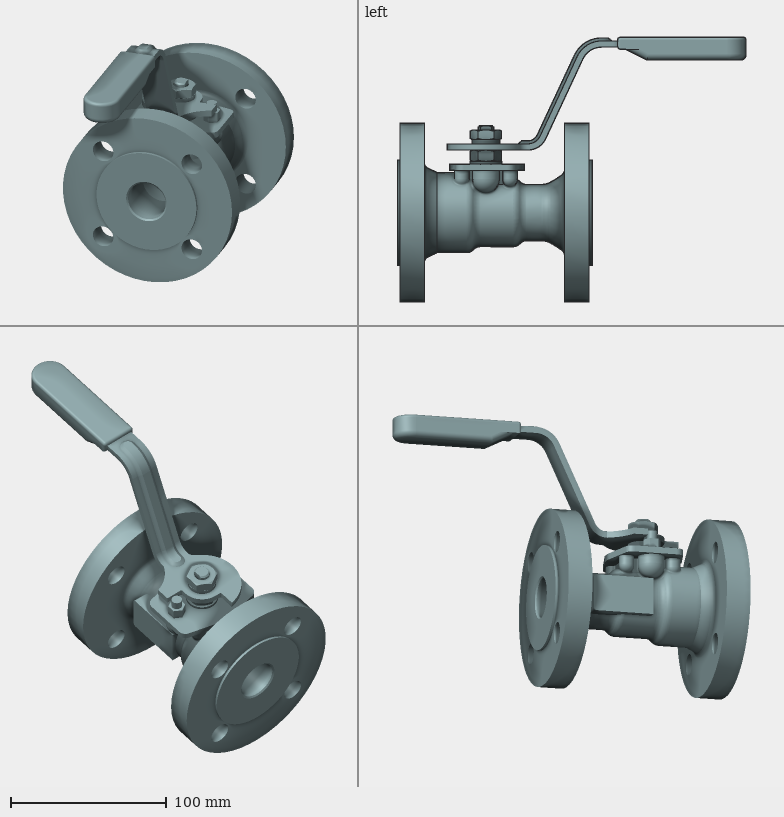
import cadquery as cq
import math


flange_diameter = 115.0
flange_thickness = 16.0
flange_back_y = 39.5
flange_front_y = -50.5
raised_face_diameter = 68.0
raised_face_back = 1.5
raised_face_front = 2.0
back_end_y = flange_back_y + flange_thickness + raised_face_back
front_end_y = flange_front_y - flange_thickness - raised_face_front
bolt_hole_diameter = 14.0
bolt_circle_radius = 42.5
bolt_count = 4
bolt_start_angle = 45

back_radius = 25.8
middle_radius = 22.0
neck_radius = 18.2
back_root_radius = 31.5
front_root_radius = 27.5
back_root_middle = (29.8, 38.8)
back_cone_start = (29.0, 37.9)
flare_cone_start = (19.7, -41.7)
flare_cone_end = (24.0, -48.5)
back_cone_end_y = 31.4
back_step_y = 12.3
neck_step_y = -17.5
step_length = 8.5
flare_y = -35.9

port_diameter = 19.0
bore_end = 38.0
port_end = 31.4
bore_diameter = 25.5
mouth_diameter = 27.5
mouth_depth = 1.0

plate_top = 31.2
plate_thickness = 4.0
plate_bottom = plate_top - plate_thickness
plate_half_x = 30.3
plate_shoulder_y = 18.2
plate_slope = 0.24
plate_back_y = 23.3
plate_front_y = -24.7
plate_corner_radius = 5.2
boss_ball_z = 21.3
large_boss_diameter = 17.3
large_boss_x = 19.0
small_boss_diameter = 9.6
small_boss_offset = 15.5
boss_fillet = 1.1
foot_half_x = 12.3
pad_half_x = 24.2
pad_end_y = -40.0
pad_half_z = 11.9
pad_edge_fillet = 1.8

stop_x = 20.8
stop_diameter = 6.7
stop_hex_flats = 9.6
stop_hex_height = 6.7
stop_top = 43.5

stem_diameter = 10.0
stem_flats = 7.5
stem_bottom = 13.5
stem_top = 55.8
stem_chamfer = 1.0
nut_flats = 17.5
lower_washer_diameter = 20.6
lower_washer_thickness = 1.8
upper_washer_diameter = 18.0
upper_washer_thickness = 2.7
upper_nut_height = 6.3

lever_bottom = 40.1
lever_thickness = 4.0
lever_top = lever_bottom + lever_thickness
lever_middle = lever_bottom + lever_thickness / 2
lever_width = 19.5
lever_angle = 65
lever_rise = 66.1
lower_bend_y = -27.0
lower_bend_radius = 10.8
upper_bend_radius = 15.2
arm_overlap = 2.2
disc_diameter = 50.7
notch_radius = 13.7
notch_x = -4.5
stop_face_y = -4.0
notch_fillet = 1.1
ear_y = -13.5
ear_arc_middle = (16.1, -18.5)
rib_base_width = 10.8
rib_top_width = 6.0
rib_height = 2.0
rib_start_y = -20.6
rib_end_y = -81.0

grip_width = 24.0
grip_start_y = -84.5
grip_end_y = -167.2
grip_top = 112.8
grip_mouth_bottom = 105.0
grip_bottom = 98.0
grip_slope_start_y = -89.7
grip_slope_end_y = -103.5
grip_top_fillet = 2.0
grip_bottom_fillet = 3.8


def cylinder(diameter, bottom, top, x=0, y=0):
    """Upright cylinder between two heights."""
    return cq.Workplane("XY", origin=(x, y, bottom)).circle(diameter / 2).extrude(top - bottom)


def hexagon(flats, bottom, top, x=0):
    """Upright hexagonal prism with two corners pointing along Y."""
    corners = flats / math.cos(math.radians(30))
    prism = cq.Workplane("XY").polygon(6, corners).extrude(top - bottom)
    return prism.rotate((0, 0, 0), (0, 0, 1), 90).translate((x, 0, bottom))


def turned_outside():
    """Flanges, raised faces and the pipe between them, turned as one solid about the pipe axis."""
    flange_radius = flange_diameter / 2
    raised_radius = raised_face_diameter / 2
    return (
        cq.Workplane("XY")
        .moveTo(0, back_end_y)
        .lineTo(raised_radius, back_end_y)
        .lineTo(raised_radius, back_end_y - raised_face_back)
        .lineTo(flange_radius, back_end_y - raised_face_back)
        .lineTo(flange_radius, flange_back_y)
        .lineTo(back_root_radius, flange_back_y)
        .threePointArc(back_root_middle, back_cone_start)
        .lineTo(back_radius, back_cone_end_y)
        .lineTo(back_radius, back_step_y)
        .tangentArcPoint(((back_radius + middle_radius) / 2, back_step_y - step_length / 2), relative=False)
        .tangentArcPoint((middle_radius, back_step_y - step_length), relative=False)
        .lineTo(middle_radius, neck_step_y)
        .tangentArcPoint(((middle_radius + neck_radius) / 2, neck_step_y - step_length / 2), relative=False)
        .tangentArcPoint((neck_radius, neck_step_y - step_length), relative=False)
        .lineTo(neck_radius, flare_y)
        .tangentArcPoint(flare_cone_start, relative=False)
        .lineTo(*flare_cone_end)
        .tangentArcPoint((front_root_radius, flange_front_y), relative=False)
        .lineTo(flange_radius, flange_front_y)
        .lineTo(flange_radius, front_end_y + raised_face_front)
        .lineTo(raised_radius, front_end_y + raised_face_front)
        .lineTo(raised_radius, front_end_y)
        .lineTo(0, front_end_y)
        .close()
        .revolve(360, (0, 0, 0), (0, 1, 0))
    )


def flange_bolt_holes():
    """Bolt holes through both flanges, in line with each other."""
    holes = cq.Workplane("XY")
    for face_y in (back_end_y, flange_front_y):
        flange_holes = (
            cq.Workplane("XZ", origin=(0, face_y, 0))
            .polarArray(bolt_circle_radius, bolt_start_angle, 360, bolt_count)
            .circle(bolt_hole_diameter / 2)
            .extrude(flange_thickness + raised_face_front)
        )
        holes = holes.add(flange_holes)
    return holes.combine()


def flow_passage():
    """Straight port in the middle, tapering open to a wider bore with a chamfered mouth at each end."""
    return (
        cq.Workplane("XY")
        .moveTo(0, back_end_y)
        .lineTo(mouth_diameter / 2, back_end_y)
        .lineTo(bore_diameter / 2, back_end_y - mouth_depth)
        .lineTo(bore_diameter / 2, bore_end)
        .lineTo(port_diameter / 2, port_end)
        .lineTo(port_diameter / 2, -port_end)
        .lineTo(bore_diameter / 2, -bore_end)
        .lineTo(bore_diameter / 2, front_end_y + mouth_depth)
        .lineTo(mouth_diameter / 2, front_end_y)
        .lineTo(0, front_end_y)
        .close()
        .revolve(360, (0, 0, 0), (0, 1, 0))
    )


def mounting_plate():
    """Plate below the lever, with sides that slope out to a short crown."""
    back_crown_x = plate_half_x - (plate_back_y - plate_shoulder_y) / plate_slope
    front_crown_x = plate_half_x - (-plate_front_y - plate_shoulder_y) / plate_slope
    outline = [
        (plate_half_x, plate_shoulder_y),
        (back_crown_x, plate_back_y),
        (-back_crown_x, plate_back_y),
        (-plate_half_x, plate_shoulder_y),
        (-plate_half_x, -plate_shoulder_y),
        (-front_crown_x, plate_front_y),
        (front_crown_x, plate_front_y),
        (plate_half_x, -plate_shoulder_y),
    ]
    plate = cq.Workplane("XY", origin=(0, 0, plate_bottom)).polyline(outline).close().extrude(plate_thickness)
    corner_edges = plate.edges("|Z").edges("<X or >X")
    return corner_edges.fillet(plate_corner_radius)


def boss(diameter, x, y):
    """Upright round boss under the plate, closed below by a half ball."""
    ball = cq.Workplane("XY", origin=(x, y, boss_ball_z)).sphere(diameter / 2)
    return cylinder(diameter, boss_ball_z, plate_bottom, x, y).union(ball)


def plate_support():
    """Solid foot between the pipe and the plate, with the bosses around it."""
    foot = cq.Workplane("XY").rect(2 * foot_half_x, 2 * small_boss_offset).extrude(plate_bottom)
    for side in (-1, 1):
        foot = foot.union(boss(large_boss_diameter, side * large_boss_x, 0))
        for end in (-1, 1):
            foot = foot.union(boss(small_boss_diameter, side * small_boss_offset, end * small_boss_offset))
    return foot


def marking_pad():
    """Flat-topped pad on the +X side of the neck."""
    pad = cq.Workplane("XY").box(pad_half_x, -pad_end_y, 2 * pad_half_z, centered=(False, False, True))
    pad = pad.translate((0, pad_end_y, 0))
    return pad.edges("<Y and |X").fillet(pad_edge_fillet)


def pipe_with_support():
    """Pipe and plate support, with fillets where the bosses meet the foot and the pipe."""
    body = turned_outside().union(plate_support())
    reach = flange_diameter
    above_axis = cq.selectors.BoxSelector((-reach, -reach, boss_ball_z / 2), (reach, reach, reach))
    return body.edges("%BSPLINE or |Z").edges(above_axis).fillet(boss_fillet)


def make_housing():
    body = pipe_with_support()
    body = body.union(mounting_plate())
    body = body.union(marking_pad())
    body = body.cut(flange_bolt_holes())
    body = body.cut(flow_passage())
    body = body.cut(cylinder(stem_diameter, stem_bottom, plate_top))
    for side in (-1, 1):
        body = body.cut(cylinder(stop_diameter, boss_ball_z, plate_top, side * stop_x))
    return body


def make_stop_bolt():
    """Stud in the plate with a hexagonal collar that rests on the plate."""
    stud = cylinder(stop_diameter, boss_ball_z, stop_top, stop_x)
    return stud.union(hexagon(stop_hex_flats, plate_top, plate_top + stop_hex_height, stop_x))


def make_stem():
    """Round stem, with two flats that start at the lever and drive it."""
    stem = cylinder(stem_diameter, stem_bottom, stem_top).faces(">Z").chamfer(stem_chamfer)
    flat_band = (
        cq.Workplane("XY", origin=(0, 0, lever_bottom))
        .rect(2 * stem_diameter, 2 * stem_diameter)
        .rect(stem_flats, 2 * stem_diameter)
        .extrude(stem_top - lever_bottom)
    )
    return stem.cut(flat_band)


def make_nut(bottom, top):
    """Hexagonal nut with its corners turned down at both ends."""
    corner_radius = nut_flats / math.cos(math.radians(30)) / 2
    flat_radius = nut_flats / 2
    drop = (corner_radius - flat_radius) * math.tan(math.radians(30))
    turned = (
        cq.Workplane("XZ")
        .moveTo(0, bottom)
        .lineTo(flat_radius, bottom)
        .lineTo(corner_radius, bottom + drop)
        .lineTo(corner_radius, top - drop)
        .lineTo(flat_radius, top)
        .lineTo(0, top)
        .close()
        .revolve(360, (0, 0, 0), (0, 1, 0))
    )
    return hexagon(nut_flats, bottom, top).intersect(turned).cut(cylinder(stem_diameter, bottom, top))


def make_washer(diameter, bottom, top):
    return cylinder(diameter, bottom, top).cut(cylinder(stem_diameter, bottom, top))


angle = math.radians(lever_angle)
lower_bend_run = lower_bend_radius * math.sin(angle)
lower_bend_rise = lower_bend_radius * (1 - math.cos(angle))
upper_bend_run = upper_bend_radius * math.sin(angle)
upper_bend_rise = upper_bend_radius * (1 - math.cos(angle))
slope_rise = lever_rise - lower_bend_rise - upper_bend_rise
slope_start = (lower_bend_y - lower_bend_run, lever_middle + lower_bend_rise)
slope_end = (slope_start[0] - slope_rise / math.tan(angle), slope_start[1] + slope_rise)
bend_end = (slope_end[0] - upper_bend_run, slope_end[1] + upper_bend_rise)


def arm_path(start_y, end_y):
    """Mid line of the arm: flat, bend up, slope, bend back, flat."""
    return (
        cq.Workplane("YZ")
        .moveTo(start_y, lever_middle)
        .lineTo(lower_bend_y, lever_middle)
        .tangentArcPoint(slope_start, relative=False)
        .lineTo(*slope_end)
        .tangentArcPoint(bend_end, relative=False)
        .lineTo(end_y, bend_end[1])
    )


def disc_point(radius, degrees):
    """Point on a circle around the stem axis."""
    return (radius * math.cos(math.radians(degrees)), radius * math.sin(math.radians(degrees)))


def lever_disc():
    """Round head with a quarter notch for the stop bolt, narrowing into the arm."""
    radius = disc_diameter / 2
    half_width = lever_width / 2
    blend_radius = (half_width**2 + lower_bend_y**2 - radius**2) / (2 * (radius - half_width))
    blend_centre = (half_width + blend_radius, lower_bend_y)
    shrink = radius / (radius + blend_radius)
    blend_start = (blend_centre[0] * shrink, blend_centre[1] * shrink)
    blend_angle = math.atan2(blend_start[1] - blend_centre[1], blend_start[0] - blend_centre[0])
    mid_angle = (blend_angle + math.pi) / 2
    blend_middle = (
        blend_centre[0] + blend_radius * math.cos(mid_angle),
        blend_centre[1] + blend_radius * math.sin(mid_angle),
    )
    notch_top_y = math.sqrt(radius**2 - notch_x**2)
    disc = (
        cq.Workplane("XY", origin=(0, 0, lever_bottom))
        .moveTo(half_width, lower_bend_y)
        .threePointArc(ear_arc_middle, (radius, ear_y))
        .lineTo(radius, stop_face_y)
        .lineTo(notch_radius, stop_face_y)
        .lineTo(notch_radius, 0)
        .threePointArc(disc_point(notch_radius, 45), (0, notch_radius))
        .lineTo(notch_x, notch_radius)
        .lineTo(notch_x, notch_top_y)
        .threePointArc((-radius, 0), (-blend_start[0], blend_start[1]))
        .threePointArc((-blend_middle[0], blend_middle[1]), (-half_width, lower_bend_y))
        .close()
        .extrude(lever_thickness)
    )
    for corner in ((notch_x, notch_radius, lever_middle), (notch_radius, stop_face_y, lever_middle)):
        corner_edge = disc.edges(cq.selectors.NearestToPointSelector(corner))
        disc = corner_edge.fillet(notch_fillet)
    return disc


def arm():
    """Bent strip from the disc to its rounded tip inside the grip."""
    start_y = lower_bend_y + arm_overlap
    end_y = grip_end_y + grip_width / 2
    strip = (
        cq.Workplane("XZ", origin=(0, start_y, 0))
        .center(0, lever_middle)
        .rect(lever_width, lever_thickness)
        .sweep(arm_path(start_y, end_y))
    )
    tip_bottom = bend_end[1] - lever_thickness / 2
    return strip.union(cylinder(lever_width, tip_bottom, tip_bottom + lever_thickness, 0, end_y))


def rib_end(y, base_z, turn):
    """Half-cone cap that rounds off an end of the rib."""
    return (
        cq.Workplane("XZ", origin=(0, y, 0))
        .moveTo(0, base_z)
        .lineTo(rib_base_width / 2, base_z)
        .lineTo(rib_top_width / 2, base_z + rib_height)
        .lineTo(0, base_z + rib_height)
        .close()
        .revolve(180, (0, 0, 0), (0, 1, 0))
        .rotate((0, y, 0), (0, y, 1), turn)
    )


def stiffening_rib():
    """Raised rib that follows the top of the arm through both bends."""
    start_y = rib_start_y - rib_base_width / 2
    end_y = rib_end_y + rib_base_width / 2
    bar = (
        cq.Workplane("XZ", origin=(0, start_y, 0))
        .moveTo(-rib_base_width / 2, lever_top)
        .lineTo(rib_base_width / 2, lever_top)
        .lineTo(rib_top_width / 2, lever_top + rib_height)
        .lineTo(-rib_top_width / 2, lever_top + rib_height)
        .close()
        .sweep(arm_path(start_y, end_y))
    )
    caps = rib_end(start_y, lever_top, 0).union(rib_end(end_y, lever_top + lever_rise, 180))
    return bar.union(caps)


def make_lever(stem):
    return lever_disc().union(arm()).union(stiffening_rib()).cut(stem)


def make_grip(lever):
    """Sleeve over the lever end: shallow at the mouth, deep behind, rounded at the tip."""
    tip_y = grip_end_y + grip_width / 2
    outline = [
        (grip_start_y, grip_top),
        (grip_end_y, grip_top),
        (grip_end_y, grip_bottom),
        (grip_slope_end_y, grip_bottom),
        (grip_slope_start_y, grip_mouth_bottom),
        (grip_start_y, grip_mouth_bottom),
    ]
    side = cq.Workplane("YZ").polyline(outline).close().extrude(grip_width / 2, both=True)
    plan = (
        cq.Workplane("XY", origin=(0, 0, grip_bottom))
        .moveTo(-grip_width / 2, grip_start_y)
        .lineTo(-grip_width / 2, tip_y)
        .threePointArc((0, grip_end_y), (grip_width / 2, tip_y))
        .lineTo(grip_width / 2, grip_start_y)
        .close()
        .extrude(grip_top - grip_bottom)
    )
    grip = side.intersect(plan)
    slope_middle = (0, (grip_slope_start_y + grip_slope_end_y) / 2, (grip_mouth_bottom + grip_bottom) / 2)
    slope = grip.faces(cq.selectors.NearestToPointSelector(slope_middle))
    lower_edges = slope.edges("not |X").add(grip.faces("<Z").edges("not >Y"))
    grip = lower_edges.fillet(grip_bottom_fillet)
    grip = grip.faces(">Z or >Y").edges().fillet(grip_top_fillet)
    return grip.cut(lever)


lower_washer_top = plate_top + lower_washer_thickness
upper_washer_top = lever_top + upper_washer_thickness

housing = make_housing()
stop_bolt = make_stop_bolt()
stem = make_stem()
lower_washer = make_washer(lower_washer_diameter, plate_top, lower_washer_top)
lower_nut = make_nut(lower_washer_top, lever_bottom)
lever = make_lever(stem)
upper_washer = make_washer(upper_washer_diameter, lever_top, upper_washer_top)
upper_nut = make_nut(upper_washer_top, upper_washer_top + upper_nut_height)
grip = make_grip(lever)

bodies = [housing, stop_bolt, stem, lower_washer, lower_nut, lever, upper_washer, upper_nut, grip]
result = cq.Compound.makeCompound([body.solids().val() for body in bodies])